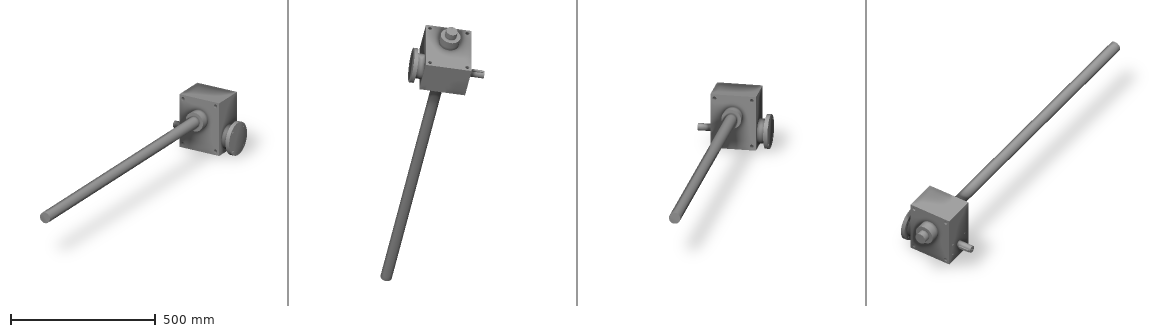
import cadquery as cq


box_length_x = 160.0
box_depth_y = 120.0
box_height_z = 197.0
screw_axis_below_top = 75.0
box_top_z = screw_axis_below_top
box_bottom_z = box_top_z - box_height_z
box_half_x = box_length_x / 2
box_half_y = box_depth_y / 2

mount_hole_diameter = 13.0
mount_hole_inset_x = 15.0
mount_hole_inset_z = 15.0

screw_diameter = 40.0
screw_length = 1215.0
hub_diameter = 69.0
rear_hub_length = 35.0
front_hub_length = 33.0
screw_rear_overhang = 24.0
screw_rear_y = box_half_y + rear_hub_length + screw_rear_overhang

flange_diameter = 120.0
overall_height_z = 205.0
input_axis_z = box_top_z - overall_height_z + flange_diameter / 2
shaft_diameter = 25.0
shaft_length = 55.0
centre_hole_diameter = 6.7
centre_hole_depth = 15.0
shaft_end_x = -box_half_x - shaft_length
key_width = 9.0
key_length = 40.0
key_rise = 4.0
key_end_gap = 5.0

cover_hole_diameter = 6.7
cover_hole_depth = 15.0
cover_hole_spacing_y = 74.0
cover_hole_spacing_z = 44.0

neck_diameter = 87.0
neck_length = 25.0
disc_start_x = box_half_x + neck_length
disc_thickness = 15.0
bolt_hole_count = 4
bolt_hole_diameter = 7.0
bolt_circle_diameter = 100.0
first_bolt_angle = 180 / bolt_hole_count


def rod_along_x(start_x, length, diameter):
    """Cylinder on the input axis, growing toward +X from start_x."""
    return cq.Workplane("YZ", origin=(start_x, 0, input_axis_z)).circle(diameter / 2).extrude(length)


def rod_along_y(start_y, length, diameter):
    """Cylinder on the screw axis, growing toward -Y from start_y."""
    return cq.Workplane("XZ", origin=(0, start_y, 0)).circle(diameter / 2).extrude(length)


def make_screw():
    """Plain round screw running through the housing."""
    return rod_along_y(screw_rear_y, screw_length, screw_diameter)


def mounting_holes():
    """Four holes near the corners, passing through the block along Y."""
    spacing_x = box_length_x - 2 * mount_hole_inset_x
    spacing_z = box_height_z - 2 * mount_hole_inset_z
    return (
        cq.Workplane("XZ", origin=(0, box_half_y, (box_top_z + box_bottom_z) / 2))
        .rect(spacing_x, spacing_z, forConstruction=True)
        .vertices()
        .circle(mount_hole_diameter / 2)
        .extrude(box_depth_y)
    )


def cover_holes():
    """Four blind holes in the -X face, around the input shaft."""
    return (
        cq.Workplane("YZ", origin=(-box_half_x, 0, input_axis_z))
        .rect(cover_hole_spacing_y, cover_hole_spacing_z, forConstruction=True)
        .vertices()
        .circle(cover_hole_diameter / 2)
        .extrude(cover_hole_depth)
    )


def make_housing():
    """Block with a hub at each end of the screw bore."""
    block = cq.Workplane("XY", origin=(0, 0, box_bottom_z)).box(
        box_length_x, box_depth_y, box_height_z, centered=(True, True, False)
    )
    hub_start_y = box_half_y + rear_hub_length
    hubs_length = rear_hub_length + box_depth_y + front_hub_length
    hubs = rod_along_y(hub_start_y, hubs_length, hub_diameter)
    screw_bore = rod_along_y(hub_start_y, hubs_length, screw_diameter)
    return block.union(hubs).cut(screw_bore).cut(mounting_holes()).cut(cover_holes())


def shaft_key():
    """Parallel key standing proud of the +Y side of the input shaft."""
    key_outer_y = shaft_diameter / 2 + key_rise
    return cq.Workplane("XY", origin=(shaft_end_x + key_end_gap, 0, input_axis_z)).box(
        key_length, key_outer_y, key_width, centered=(False, False, True)
    )


def make_input_shaft():
    """Keyed stub shaft standing on the -X face, with a centre hole in its end."""
    shaft = rod_along_x(shaft_end_x, shaft_length, shaft_diameter)
    centre_hole = rod_along_x(shaft_end_x, centre_hole_depth, centre_hole_diameter)
    return shaft.union(shaft_key()).cut(centre_hole)


def flange_bolt_holes():
    """Holes through the disc, spaced evenly around the neck."""
    return (
        cq.Workplane("YZ", origin=(disc_start_x, 0, input_axis_z))
        .polarArray(bolt_circle_diameter / 2, first_bolt_angle, 360, bolt_hole_count)
        .circle(bolt_hole_diameter / 2)
        .extrude(disc_thickness)
    )


def make_motor_flange():
    """Neck on the +X face, ending in a wider disc with bolt holes."""
    neck = rod_along_x(box_half_x, neck_length, neck_diameter)
    disc = rod_along_x(disc_start_x, disc_thickness, flange_diameter)
    return neck.union(disc).cut(flange_bolt_holes())


housing = make_housing()
screw = make_screw()
input_shaft = make_input_shaft()
motor_flange = make_motor_flange()

result = cq.Compound.makeCompound([housing.val(), screw.val(), input_shaft.val(), motor_flange.val()])